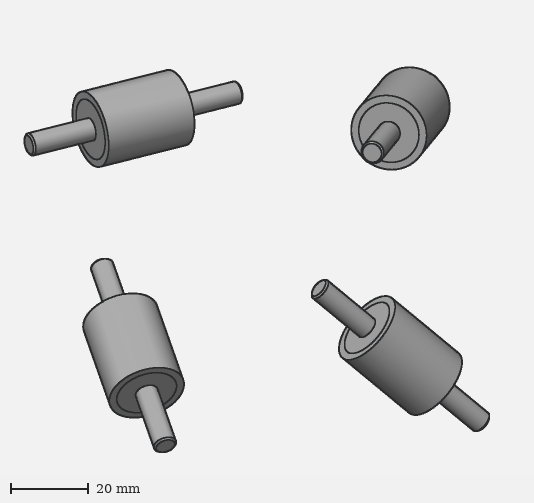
import cadquery as cq

total_length = 61.0
rubber_length = 25.0
rubber_diameter = 20.0
plate_diameter = 16.0
plate_thickness = 2.0
stud_diameter = 6.0
tip_chamfer = 0.5

rubber_end = rubber_length / 2
stud_length = (total_length - rubber_length) / 2


def cylinder_along_y(diameter, length, start, direction):
    """Cylinder on the Y axis from Y = start, running in direction +1 or -1."""
    plane = cq.Plane(origin=(0, start, 0), xDir=(1, 0, 0), normal=(0, direction, 0))
    return cq.Workplane(plane).circle(diameter / 2).extrude(length)


def make_plate(side):
    """Round plate let in flush with the rubber end face on one side."""
    return cylinder_along_y(plate_diameter, plate_thickness, side * rubber_end, -side)


def make_stud_plate(side):
    """Plate and outward stud in one piece, with a chamfered stud tip."""
    stud = cylinder_along_y(stud_diameter, stud_length, side * rubber_end, side)
    tip_face = ">Y" if side > 0 else "<Y"
    stud = stud.faces(tip_face).edges().chamfer(tip_chamfer)
    return make_plate(side).union(stud)


def make_rubber():
    """Rubber cylinder with a matching recess for the plate in each end."""
    rubber = cylinder_along_y(rubber_diameter, rubber_length, -rubber_end, 1)
    for side in (-1, 1):
        rubber = rubber.cut(make_plate(side))
    return rubber


rubber = make_rubber()
stud_plates = [make_stud_plate(side) for side in (-1, 1)]

result = cq.Compound.makeCompound([rubber.val(), *[stud_plate.val() for stud_plate in stud_plates]])